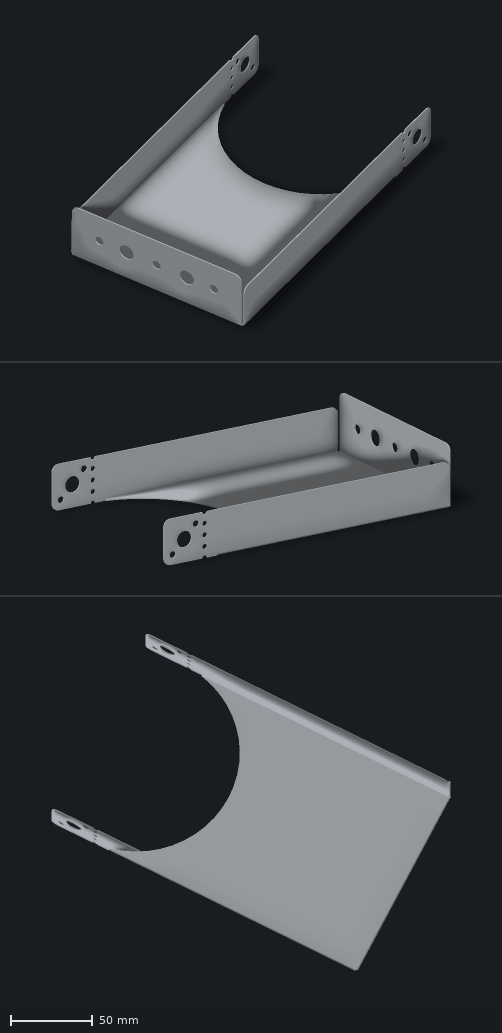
import cadquery as cq
import math

WIDTH = 127.0
LENGTH = 210.9
FRONT_HEIGHT = 40.0
SIDE_HEIGHT = 30.0

DIAGONAL = math.sin(math.radians(45))

THICKNESS = 0.8
INNER_BEND_RADIUS = 0.6
BEND_RADIUS = INNER_BEND_RADIUS + THICKNESS
CORNER_RADIUS = 5.0
FLOOR_HALF_WIDTH = WIDTH / 2 - BEND_RADIUS

CUTOUT_RADIUS = 63.5
FLOOR_MIDDLE_LENGTH = 120.0
CUTOUT_FRONT_Y = BEND_RADIUS + FLOOR_MIDDLE_LENGTH
CUTOUT_CENTRE_Y = CUTOUT_FRONT_Y + CUTOUT_RADIUS
BEND_END_Y = CUTOUT_CENTRE_Y - math.sqrt(CUTOUT_RADIUS**2 - FLOOR_HALF_WIDTH**2)

FRONT_HOLE_Z = 20.9
SMALL_FRONT_DIAMETER = 6.2
SMALL_FRONT_OFFSET = 42.0
LARGE_DIAMETER = 10.5
LARGE_FRONT_OFFSET = 22.1

TAB_LENGTH = 30.0
TAB_HOLE_Y = LENGTH - TAB_LENGTH / 2
TAB_HOLE_Z = SIDE_HEIGHT / 2
SCREW_DIAMETER = 4.3
SCREW_CIRCLE_RADIUS = 12.0
SCREW_OFFSET = SCREW_CIRCLE_RADIUS * DIAGONAL

TAB_LINE_Y = LENGTH - TAB_LENGTH
TAB_LINE_DIAMETER = 3.3
TAB_LINE_COUNT = 5
TAB_LINE_PITCH = SIDE_HEIGHT / (TAB_LINE_COUNT - 1)


def box(x_range, y_range, z_range):
    """Axis-aligned box between the given limits."""
    size = [high - low for low, high in (x_range, y_range, z_range)]
    corner = (x_range[0], y_range[0], z_range[0])
    return cq.Workplane("XY").box(*size, centered=False).translate(corner)


def bend_profile(plane, outer_face):
    """Quarter-ring bend section rising from the floor to a wall on the low side of the plane's first axis."""
    centre = outer_face + BEND_RADIUS
    outer_middle = (centre - BEND_RADIUS * DIAGONAL, BEND_RADIUS * (1 - DIAGONAL))
    inner_middle = (centre - INNER_BEND_RADIUS * DIAGONAL, BEND_RADIUS - INNER_BEND_RADIUS * DIAGONAL)
    return (
        cq.Workplane(plane)
        .moveTo(outer_face, BEND_RADIUS)
        .threePointArc(outer_middle, (centre, 0))
        .lineTo(centre, THICKNESS)
        .threePointArc(inner_middle, (outer_face + THICKNESS, BEND_RADIUS))
        .close()
    )


def floor():
    plate = box((-FLOOR_HALF_WIDTH, FLOOR_HALF_WIDTH), (BEND_RADIUS, CUTOUT_CENTRE_Y), (0, THICKNESS))
    cutout = cq.Workplane("XY").center(0, CUTOUT_CENTRE_Y).circle(CUTOUT_RADIUS).extrude(THICKNESS)
    behind_bends = box((-WIDTH, WIDTH), (BEND_END_Y, LENGTH), (0, THICKNESS))
    return plate.cut(cutout).cut(behind_bends)


def front_wall():
    wall = box((-FLOOR_HALF_WIDTH, FLOOR_HALF_WIDTH), (0, THICKNESS), (BEND_RADIUS, FRONT_HEIGHT))
    wall = wall.edges("|Y and >Z").fillet(CORNER_RADIUS)
    small_xs = (-SMALL_FRONT_OFFSET, 0, SMALL_FRONT_OFFSET)
    large_xs = (-LARGE_FRONT_OFFSET, LARGE_FRONT_OFFSET)
    for xs, diameter in ((small_xs, SMALL_FRONT_DIAMETER), (large_xs, LARGE_DIAMETER)):
        points = [(x, FRONT_HOLE_Z) for x in xs]
        holes = cq.Workplane("XZ").pushPoints(points).circle(diameter / 2).extrude(-THICKNESS)
        wall = wall.cut(holes)
    bend = bend_profile("YZ", 0).extrude(FLOOR_HALF_WIDTH, both=True)
    return wall.union(bend)


def left_wall():
    outer_x = -WIDTH / 2
    x_range = (outer_x, outer_x + THICKNESS)
    wall = box(x_range, (BEND_RADIUS, LENGTH), (0, SIDE_HEIGHT))
    wall = wall.edges("|X and (>Y or >Z)").fillet(CORNER_RADIUS)
    wall = wall.cut(box(x_range, (BEND_RADIUS, BEND_END_Y), (0, BEND_RADIUS)))

    tab_hole = [(TAB_HOLE_Y, TAB_HOLE_Z)]
    screw_holes = [(TAB_HOLE_Y + sign * SCREW_OFFSET, TAB_HOLE_Z - sign * SCREW_OFFSET) for sign in (-1, 1)]
    tab_line = [(TAB_LINE_Y, i * TAB_LINE_PITCH) for i in range(TAB_LINE_COUNT)]
    patterns = (
        (tab_hole, LARGE_DIAMETER),
        (screw_holes, SCREW_DIAMETER),
        (tab_line, TAB_LINE_DIAMETER),
    )
    for points, diameter in patterns:
        holes = cq.Workplane("YZ", origin=(outer_x, 0, 0)).pushPoints(points).circle(diameter / 2)
        wall = wall.cut(holes.extrude(THICKNESS))

    bend_length = BEND_END_Y - BEND_RADIUS
    bend = bend_profile("XZ", outer_x).extrude(-bend_length).translate((0, BEND_RADIUS, 0))
    return wall.union(bend)


left = left_wall()
right = left.mirror("YZ")
result = floor().union(front_wall()).union(left).union(right)